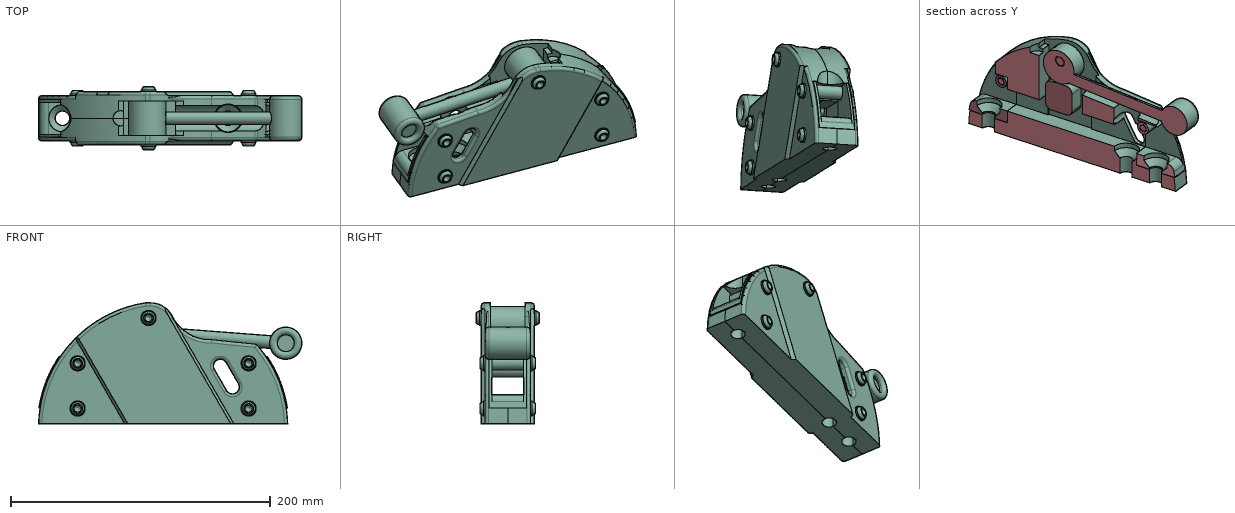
import cadquery as cq
import math


flank_radius = 97.55
flank_center_x = 1.3
flank_center_z = -2.93
crest_left_x = -13.5
crest_right_x = -10.0
crest_z = flank_center_z + math.sqrt(flank_radius ** 2 - (crest_left_x - flank_center_x) ** 2)
hump_end = (7.2, 82.9)
hollow_end = (37.5, 64.9)
rear_corner_z = 61.4
rear_corner_radius = 2.5
edge_radius = 2.5

end_half_width = 17.5
panel_half_width = 20.5
panel_left_foot_x = -29.7
panel_right_foot_x = 54.6
panel_angle = 60.0
panel_bevel_run = 2.1

channel_half_width = 12.35
channel_floor_z = 22.6
channel_ceiling_z = 41.5
pocket_half_width = 13.5
pocket_left_x = -30.5
pocket_right_x = 9.7
relief_right_x = 15.6
relief_floor_z = 55.0
ledge_left_x = -34.5
ledge_z = 84.0
notch_diameter = 11.7
notch_x = -32.8
notch_floor_z = 81.0
access_diameter = 21.9
front_access_x = -82.3
rear_access_x = 50.2

slot_center = (48.8, 36.5)
slot_length = 18.7
slot_width = 10.5
slot_edge_radius = 2.3

screw_x = 66.0
lower_screw_z = 11.8
upper_screw_z = 46.7
head_diameter = 11.7
head_rim_height = 1.2
head_dome_diameter = 10.5
head_top_diameter = 7.5
head_height = 4.0
head_dome_bulge = 0.3
socket_diameter = 5.6
socket_depth = 2.5
screw_diameter = 6.0
pivot_diameter = 8.0
bore_clearance = 0.1
pivot_x = -11.3
pivot_z = 81.7

guide_bottom_z = 12.4
guide_top_z = 51.9
guide_half_width = 14.3
guide_inner_x = 60.0
guide_proud = 0.9
guide_lip_radius = 6.6
spacer_diameter = 2 * (guide_top_z - upper_screw_z)
mount_x = 77.7
mount_diameter = 11.0
mount_head_diameter = 21.0
mount_head_recess = 4.0

hub_radius = 14.5
hub_x = -12.3
hub_z = 76.2
knob_x = 94.67
knob_z = 62.2
knob_diameter = 25.0
knob_length = 35.0
knob_bore = 13.0
knob_bore_depth = 4.5
rod_diameter = 10.0
rod_tilt = 4.35
trough_radius = 10.0
shoe_length = 25.0
shoe_bottom_z = 36.0
shoe_radius = 5.5

overshoot = 10.0
face_margin = 0.1


def flank_x(z, offset=0.0):
    """Distance of the round ends from the YZ plane at height z."""
    return math.sqrt((flank_radius + offset) ** 2 - (z - flank_center_z) ** 2) - flank_center_x


def block(x_range, y_range, z_range):
    (x0, x1), (y0, y1), (z0, z1) = x_range, y_range, z_range
    return cq.Workplane("XY").box(x1 - x0, y1 - y0, z1 - z0, centered=False).translate((x0, y0, z0))


def cylinder_y(diameter, x, z, y0, y1):
    return cq.Workplane("XZ", origin=(x, y0, z)).circle(diameter / 2).extrude(y0 - y1)


def cylinder_z(diameter, x, z0, z1):
    return cq.Workplane("XY", origin=(x, 0, z0)).circle(diameter / 2).extrude(z1 - z0)


def countersink(x, diameter, cone_top_z, top_z):
    """Vertical bore down to cone_top_z, then a 90 degree cone narrowing to the mounting hole."""
    cone_height = (diameter - mount_diameter) / 2
    cone = cq.Workplane("XY", origin=(x, 0, cone_top_z)).circle(diameter / 2).extrude(-cone_height, taper=45)
    return cylinder_z(diameter, x, cone_top_z, top_z).union(cone)


def lever_axis_cylinder(diameter, x0, x1):
    """Cylinder along the tilted lever rod between two distances from the knob axis."""
    rod = cq.Workplane("YZ").circle(diameter / 2).extrude(x1 - x0).translate((x0, 0, 0))
    return rod.rotate((0, 0, 0), (0, 1, 0), rod_tilt).translate((knob_x, 0, knob_z))


def outline_slab(half_width):
    """Housing outline from the mid plane out to half_width, with a rounded outer edge."""
    front_middle_z = crest_z / 2
    profile = (
        cq.Workplane("XZ")
        .moveTo(-flank_x(0), 0)
        .threePointArc((-flank_x(front_middle_z), front_middle_z), (crest_left_x, crest_z))
        .lineTo(crest_right_x, crest_z)
        .tangentArcPoint(hump_end, relative=False)
        .tangentArcPoint(hollow_end, relative=False)
        .lineTo(flank_x(rear_corner_z), rear_corner_z)
        .threePointArc((flank_x(rear_corner_z / 2), rear_corner_z / 2), (flank_x(0), 0))
        .close()
    )
    slab = profile.extrude(half_width)
    corner = cq.selectors.NearestToPointSelector((flank_x(rear_corner_z), -half_width / 2, rear_corner_z))
    slab = slab.edges(corner).fillet(rear_corner_radius)
    base_edge = cq.selectors.NearestToPointSelector((0, -half_width, 0))
    rim = cq.selectors.SubtractSelector(cq.selectors.StringSyntaxSelector("<Y"), base_edge)
    return slab.edges(rim).fillet(edge_radius)


def panel_prism():
    """Slanted band that bounds the raised side panel, with bevelled side edges."""
    bevel_height = panel_half_width - end_half_width
    bevel_angle = math.degrees(math.atan2(panel_bevel_run, bevel_height))
    slant = math.tan(math.radians(90 - panel_angle))
    low_z = -overshoot * 2
    high_z = crest_z + overshoot * 2
    corners = [
        (panel_left_foot_x - low_z * slant, low_z),
        (panel_right_foot_x - low_z * slant, low_z),
        (panel_right_foot_x - high_z * slant, high_z),
        (panel_left_foot_x - high_z * slant, high_z),
    ]
    core = cq.Workplane("XZ").polyline(corners).close().extrude(end_half_width)
    bevelled = cq.Workplane("XZ", origin=(0, -end_half_width, 0)).polyline(corners).close()
    return core.union(bevelled.extrude(bevel_height, taper=bevel_angle))


def viewing_slot():
    middle = cq.Workplane("XZ", origin=(slot_center[0], 0, slot_center[1])).transformed(
        rotate=(0, 0, -panel_angle)
    )
    return middle.slot2D(slot_length + slot_width, slot_width).extrude(end_half_width)


def screw_head(x, z, face_half_width):
    """Round screw head with a conical socket, standing on the -Y face."""
    rim_r = head_diameter / 2
    dome_r = head_dome_diameter / 2
    top_r = head_top_diameter / 2
    bulge_r = (dome_r + top_r) / 2 + head_dome_bulge
    bulge_height = (head_rim_height + head_height) / 2 + head_dome_bulge
    profile = (
        cq.Workplane("XY")
        .lineTo(rim_r, 0)
        .lineTo(rim_r, -head_rim_height)
        .lineTo(dome_r, -head_rim_height)
        .threePointArc((bulge_r, -bulge_height), (top_r, -head_height))
        .lineTo(socket_diameter / 2, -head_height)
        .lineTo(0, -head_height + socket_depth)
        .close()
    )
    head = profile.revolve(360, (0, 0, 0), (0, 1, 0))
    return head.translate((x, -face_half_width, z))


def housing_half():
    half = outline_slab(end_half_width)
    half = half.union(outline_slab(panel_half_width).intersect(panel_prism()))
    half = half.cut(viewing_slot())
    slot_rim = cq.selectors.BoxSelector(
        (slot_center[0] - slot_length, -end_half_width - face_margin, slot_center[1] - slot_length),
        (slot_center[0] + slot_length, -end_half_width + face_margin, slot_center[1] + slot_length),
        boundingbox=True,
    )
    half = half.edges(slot_rim).fillet(slot_edge_radius)

    far_x = flank_x(0) + overshoot
    top_z = crest_z + overshoot
    for near_x in (-far_x, guide_inner_x):
        recess_x = (near_x, near_x + far_x - guide_inner_x)
        half = half.cut(block(recess_x, (-guide_half_width, 0), (guide_bottom_z, guide_top_z)))
    channel_x = (-guide_inner_x, guide_inner_x)
    half = half.cut(block(channel_x, (-channel_half_width, 0), (channel_floor_z, channel_ceiling_z)))
    pocket_y = (-pocket_half_width, 0)
    half = half.cut(block((pocket_left_x, pocket_right_x), pocket_y, (channel_floor_z, top_z)))
    relief_x = (pocket_right_x, relief_right_x)
    half = half.cut(block(relief_x, (-pocket_half_width, -trough_radius), (relief_floor_z, top_z)))
    half = half.cut(block((ledge_left_x, pocket_left_x), pocket_y, (ledge_z, top_z)))
    half = half.cut(cylinder_z(notch_diameter, notch_x, notch_floor_z, top_z))

    half = half.cut(lever_axis_cylinder(2 * trough_radius, hub_x - knob_x, 0))
    slot_foot_z = hollow_end[1] + edge_radius
    half = half.cut(block((pocket_right_x, hollow_end[0]), (-trough_radius, 0), (slot_foot_z, top_z)))

    half = half.cut(cylinder_z(access_diameter, front_access_x, guide_top_z, top_z))
    half = half.cut(cylinder_z(access_diameter, rear_access_x, channel_ceiling_z, top_z))
    rear_cone_top_z = channel_floor_z - mount_head_recess
    half = half.cut(countersink(rear_access_x, mount_head_diameter, rear_cone_top_z, channel_floor_z))
    mount_hole_top_z = rear_cone_top_z - (mount_head_diameter - mount_diameter) / 2
    for x in (-mount_x, rear_access_x, mount_x):
        half = half.cut(cylinder_z(mount_diameter, x, -overshoot, mount_hole_top_z))

    half = half.intersect(block((-far_x, far_x), (-panel_half_width, 0), (0, top_z)))

    for x in (-screw_x, screw_x):
        for z in (lower_screw_z, upper_screw_z):
            half = half.union(screw_head(x, z, end_half_width))
        half = half.union(cylinder_y(screw_diameter, x, upper_screw_z, -end_half_width, 0))
    half = half.union(screw_head(pivot_x, pivot_z, panel_half_width))
    return half.union(cylinder_y(pivot_diameter, pivot_x, pivot_z, -end_half_width, 0))


def rope_guide():
    """U-shaped liner with a countersunk mounting hole and a round spacer between its cheeks."""
    middle_z = (guide_bottom_z + guide_top_z) / 2
    profile = (
        cq.Workplane("XZ", origin=(0, guide_half_width, 0))
        .moveTo(-guide_inner_x, guide_bottom_z)
        .lineTo(-flank_x(guide_bottom_z, guide_proud), guide_bottom_z)
        .threePointArc(
            (-flank_x(middle_z, guide_proud), middle_z), (-flank_x(guide_top_z, guide_proud), guide_top_z)
        )
        .lineTo(-guide_inner_x, guide_top_z)
        .close()
    )
    guide = profile.extrude(2 * guide_half_width)
    far_x = flank_x(0) + overshoot
    opening_y = (-channel_half_width, channel_half_width)
    opening_z = (channel_floor_z, guide_top_z + overshoot)
    guide = guide.cut(block((-far_x, -guide_inner_x + overshoot), opening_y, opening_z))
    lip_x = -flank_x(channel_floor_z, guide_proud)
    lip = cq.selectors.NearestToPointSelector((lip_x, 0, channel_floor_z))
    guide = guide.edges(lip).fillet(guide_lip_radius)
    guide = guide.union(cylinder_y(spacer_diameter, -screw_x, upper_screw_z, *opening_y))
    screw_bore = screw_diameter + bore_clearance
    guide = guide.cut(cylinder_y(screw_bore, -screw_x, upper_screw_z, -guide_half_width, guide_half_width))
    guide = guide.cut(cylinder_z(mount_diameter, -mount_x, guide_bottom_z, channel_floor_z))
    cone_top_z = channel_floor_z - mount_head_recess
    return guide.cut(countersink(-mount_x, mount_head_diameter, cone_top_z, channel_floor_z))


def knob_shape():
    """Round knob with a blind bore in each end and fully rounded rims."""
    outer_r = knob_diameter / 2
    bore_r = knob_bore / 2
    end_y = knob_length / 2
    lip_y = end_y - (outer_r - bore_r) / 2
    floor_y = end_y - knob_bore_depth
    profile = (
        cq.Workplane("XY")
        .moveTo(0, -floor_y)
        .lineTo(bore_r, -floor_y)
        .lineTo(bore_r, -lip_y)
        .threePointArc(((outer_r + bore_r) / 2, -end_y), (outer_r, -lip_y))
        .lineTo(outer_r, lip_y)
        .threePointArc(((outer_r + bore_r) / 2, end_y), (bore_r, lip_y))
        .lineTo(bore_r, floor_y)
        .lineTo(0, floor_y)
        .close()
    )
    return profile.revolve(360, (0, 0, 0), (0, 1, 0)).translate((knob_x, 0, knob_z))


def lever():
    hub = cylinder_y(2 * hub_radius, hub_x, hub_z, -pocket_half_width, pocket_half_width)
    body = knob_shape().union(hub).union(lever_axis_cylinder(rod_diameter, hub_x - knob_x, 0))
    pivot_bore = pivot_diameter + bore_clearance
    return body.cut(cylinder_y(pivot_bore, pivot_x, pivot_z, -pocket_half_width, pocket_half_width))


def rope_shoe():
    hub_bottom_z = hub_z - hub_radius
    shoe_x = (hub_x - shoe_length / 2, hub_x + shoe_length / 2)
    shoe = block(shoe_x, (-channel_half_width, channel_half_width), (shoe_bottom_z, hub_bottom_z))
    return shoe.edges("|Y").fillet(shoe_radius)


near_half = housing_half()
far_half = near_half.mirror("XZ")
front_guide = rope_guide()
rear_guide = front_guide.mirror("YZ")
result = cq.Compound.makeCompound([
    near_half.val(),
    far_half.val(),
    front_guide.val(),
    rear_guide.val(),
    lever().val(),
    rope_shoe().val(),
])